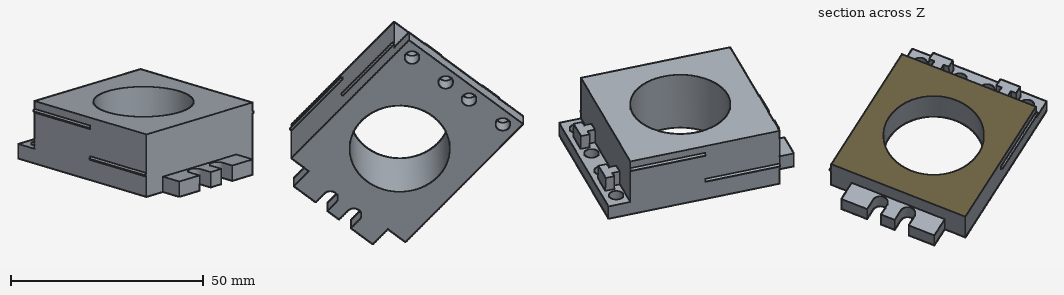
import cadquery as cq
import math

overall_length = 53.0
flange_length = 6.0
block_length = overall_length - 2 * flange_length
block_width = 39.0
block_height = 17.0
bore_diameter = 26.0

left_flange_height = 4.0
left_edge = -overall_length / 2
hole_diameter = 3.8
hole_inset = 3.5
hole_offsets = (4.0, 15.5)

right_flange_height = 4.2
right_flange_width = 27.0
right_edge = overall_length / 2
slot_width = 4.0
slot_depth = 5.5
slot_offset = 4.0

clip_height = 4.0
clip_draft = 2.0
clip_offset = block_width / 4
clip_head_width = 6.0
clip_head_inset = 1.5
clip_head_thickness = 2.5
clip_stem_width = 3.0

rib_height = 0.5
rib_base = 2 * rib_height
rib_length = block_length / 2
upper_rib_z = 14.35
lower_rib_z = 6.0


def box_between(x_start, x_end, width, height):
    """Box centred on Y, standing on Z = 0."""
    length = x_end - x_start
    return (
        cq.Workplane("XY")
        .box(length, width, height, centered=(False, True, False))
        .translate((x_start, 0, 0))
    )


def make_body():
    block_end = block_length / 2
    block = box_between(-block_end, block_end, block_width, block_height)
    left_flange = box_between(left_edge, -block_end, block_width, left_flange_height)
    right_flange = box_between(block_end, right_edge, right_flange_width, right_flange_height)
    return block.union(left_flange).union(right_flange)


def cut_bore(body):
    bore = cq.Workplane("XY").circle(bore_diameter / 2).extrude(block_height)
    return body.cut(bore)


def cut_screw_holes(body):
    hole_x = left_edge + hole_inset
    centres = [(hole_x, side * offset) for side in (-1, 1) for offset in hole_offsets]
    holes = (
        cq.Workplane("XY")
        .pushPoints(centres)
        .circle(hole_diameter / 2)
        .extrude(left_flange_height)
    )
    return body.cut(holes)


def cut_slots(body):
    slot_radius = slot_width / 2
    slot_bottom = right_edge - slot_depth
    arc_start = slot_bottom + slot_radius
    slot = (
        cq.Workplane("XY")
        .moveTo(right_edge, -slot_radius)
        .lineTo(arc_start, -slot_radius)
        .threePointArc((slot_bottom, 0), (arc_start, slot_radius))
        .lineTo(right_edge, slot_radius)
        .close()
        .extrude(right_flange_height)
    )
    for side in (-1, 1):
        body = body.cut(slot.translate((0, side * slot_offset, 0)))
    return body


def drafted_bar(x_start, x_end, base_width, front_setback):
    """Bar whose sides, and optionally -X face, lean inward towards the top."""
    top_width = base_width - 2 * clip_height * math.tan(math.radians(clip_draft))
    top_start = x_start + front_setback
    return (
        cq.Workplane("XY", origin=(0, 0, left_flange_height))
        .center((x_start + x_end) / 2, 0)
        .rect(x_end - x_start, base_width)
        .workplane(offset=clip_height)
        .center(front_setback / 2, 0)
        .rect(x_end - top_start, top_width)
        .loft(ruled=True)
    )


def add_clips(body):
    setback = clip_height * math.tan(math.radians(clip_draft))
    head_start = left_edge + clip_head_inset
    head_end = head_start + clip_head_thickness
    head = drafted_bar(head_start, head_end, clip_head_width, setback)
    stem = drafted_bar(head_end, -block_length / 2, clip_stem_width, 0)
    for side in (-1, 1):
        shift = (0, side * clip_offset, 0)
        body = body.union(head.translate(shift)).union(stem.translate(shift))
    return body


def add_ribs(body):
    """Ribs on the -Y side, repeated on the +Y side by a half turn about Z."""
    face_y = -block_width / 2
    for x_start, rib_z in ((-rib_length, upper_rib_z), (0, lower_rib_z)):
        rib = (
            cq.Workplane("YZ", origin=(x_start, 0, 0))
            .moveTo(face_y, rib_z - rib_base / 2)
            .lineTo(face_y, rib_z + rib_base / 2)
            .lineTo(face_y - rib_height, rib_z)
            .close()
            .extrude(rib_length)
        )
        opposite_rib = rib.rotate((0, 0, 0), (0, 0, 1), 180)
        body = body.union(rib).union(opposite_rib)
    return body


result = make_body()
result = cut_bore(result)
result = cut_screw_holes(result)
result = cut_slots(result)
result = add_clips(result)
result = add_ribs(result)